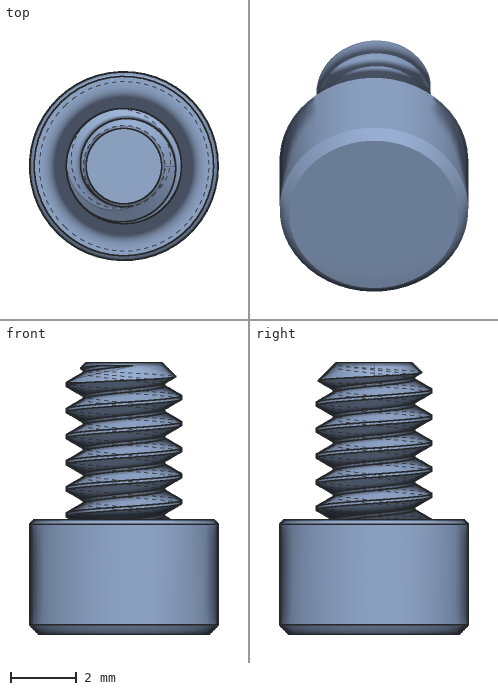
import cadquery as cq
import math

total_height = 8.27
head_diameter = 5.74
head_height = 3.5
head_top_chamfer = 0.14
head_bottom_chamfer = 0.29

major_radius = 1.75
root_radius = 1.24
pitch = 0.79
crest_width = pitch / 8
flank_angle = 30.0
crest_height_at_x = 4.035
tip_radius = 1.15
root_overlap = 0.025
head_overlap = 0.08


def make_head():
    head = cq.Workplane("XY").circle(head_diameter / 2).extrude(head_height)
    head = head.faces(">Z").chamfer(head_top_chamfer)
    return head.faces("<Z").chamfer(head_bottom_chamfer)


def make_shank(radius):
    """Plain shank of the given radius, chamfered at 45 degrees down to the tip."""
    base = head_height - head_overlap
    shank = cq.Workplane("XY").workplane(offset=base).circle(radius)
    shank = shank.extrude(total_height - base)
    return shank.faces(">Z").chamfer(radius - tip_radius)


def make_ridge():
    """Helical thread ridge that starts inside the head and runs out past the tip.

    Its flanks meet in a sharp edge; trimming it to the major radius leaves the flat crest.
    """
    start = crest_height_at_x - 2 * pitch
    turns = math.ceil((total_height - start) / pitch) + 1
    inner_radius = root_radius - root_overlap
    slope = math.tan(math.radians(flank_angle))
    sharp_radius = major_radius + crest_width / 2 / slope
    half_base = (sharp_radius - inner_radius) * slope
    profile = (
        cq.Workplane("XZ")
        .polyline([
            (inner_radius, start - half_base),
            (sharp_radius, start),
            (inner_radius, start + half_base),
        ])
        .close()
    )
    helix = cq.Wire.makeHelix(pitch, turns * pitch, root_radius, center=cq.Vector(0, 0, start))
    return profile.sweep(cq.Workplane(obj=helix), isFrenet=True)


thread = make_ridge().intersect(make_shank(major_radius))
result = make_head().union(make_shank(root_radius)).union(thread)